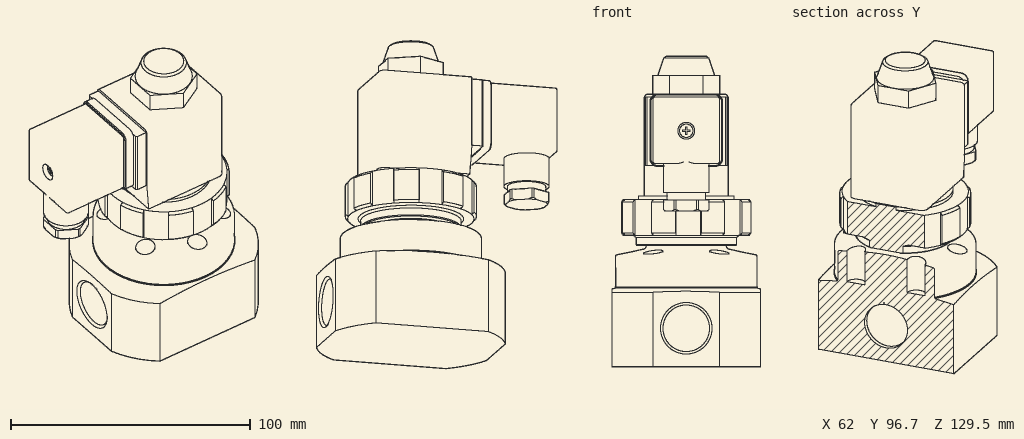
import cadquery as cq
import math


OVERALL_LENGTH = 96.7

BODY_DIAMETER = 79.0
BODY_WIDTH = 62.0
BODY_LENGTH = 74.0
BODY_EDGE_Z = 31.1
BODY_SHOULDER_Z = 32.8
PORT_DIAMETER = 19.4
PORT_MOUTH_DIAMETER = 21.5
PORT_DEPTH = 19.4
PORT_Z = 16.0

CAP_DIAMETER = 59.0
CAP_SEAT_DIAMETER = 59.5
CAP_BOTTOM_Z = 33.3
CAP_EDGE_Z = 46.6
CAP_ROUNDING = 0.8
CAP_CONE_TOP_Z = 49.3
BOLT_HOLE_DIAMETER = 8.0
BOLT_CIRCLE_DIAMETER = 47.7
BOLT_ANGLES = (0, 54.7, 125.3, 180, 234.7, 305.3)

NECK_DIAMETER = 33.5
NECK_FILLET = 1.2
COLLAR_DIAMETER = 42.0
COLLAR_BOTTOM_Z = 50.5
COLLAR_CHAMFER = 0.4
COLLAR_TOP_Z = 53.9
NUT_DIAMETER = 54.8
NUT_GROOVE_DIAMETER = 52.7
NUT_FLARE_DIAMETER = 44.0
NUT_BOTTOM_Z = 54.8
NUT_TOP_Z = 69.8
NUT_CHAMFER = 1.0
NUT_GROOVE_COUNT = 8
NUT_GROOVE_ANGLE = 22.4
NUT_FIRST_GROOVE = -88.0
SPACER_DIAMETER = 40.0

COIL_BOTTOM_Z = 71.2
COIL_TOP_Z = 113.7
COIL_WIDTH = 35.1
COIL_BACK_Y = 18.8
COIL_FRONT_Y = -21.4
COIL_FOOT_Y = -20.5
COIL_TAPER_Z = 83.9
COIL_CORNER_RADIUS = 3.1
COIL_TOP_RADIUS = 1.7

PLATE_WIDTH = 33.9
PLATE_FRONT_Y = -26.4
PLATE_BOTTOM_Z = 83.9
PLATE_TOP_Z = 112.5
PLATE_CHAMFER = 0.5
FLANGE_WIDTH = 30.3
FLANGE_FRONT_Y = -30.7
FLANGE_BOTTOM_Z = 83.5
FLANGE_RADIUS = 3.2
FLANGE_CHAMFER = 0.4
PLUG_WIDTH = 27.7
PLUG_FRONT_Y = BODY_LENGTH / 2 - OVERALL_LENGTH
PLUG_BOTTOM_Z = 84.7
PLUG_TOP_Z = 112.5
PLUG_RADIUS = 1.0

SCREW_Z = 98.4
SCREW_HOLE_DIAMETER = 7.0
SCREW_HOLE_DEPTH = 3.2
SCREW_HEAD_DIAMETER = 5.6
SCREW_HEAD_HEIGHT = 1.8
SCREW_HEAD_ROUNDING = 1.0
CROSS_LENGTH = 3.1
CROSS_WIDTH = 0.6
CROSS_DEPTH = 1.0

GLAND_DIAMETER = 18.9
GLAND_BOTTOM_Z = 72.6
GLAND_NECK_DIAMETER = 16.0
GLAND_NUT_TOP_Z = 69.5
GLAND_NUT_BOTTOM_Z = 64.9
GLAND_NUT_FLATS = 16.8
GLAND_NUT_CHAMFER = 0.6
GLAND_Y = PLUG_FRONT_Y + GLAND_DIAMETER / 2

TOP_NUT_FLATS = 24.2
TOP_NUT_TOP_Z = 121.5
TOP_CONE_BASE_DIAMETER = 23.8
TOP_CONE_END_DIAMETER = 18.9
TOP_CONE_END_Z = 128.7
TOP_FACE_DIAMETER = 16.7
TOP_Z = 129.5


def cylinder(diameter, bottom_z, top_z, y=0.0):
    """Upright cylinder between two heights."""
    base = cq.Workplane("XY", origin=(0, y, bottom_z))
    return base.circle(diameter / 2).extrude(top_z - bottom_z)


def hexagon(across_flats, bottom_z, top_z, y=0.0):
    """Upright hexagonal prism with two corners on the X direction."""
    across_corners = across_flats / math.cos(math.radians(30))
    base = cq.Workplane("XY", origin=(0, y, bottom_z))
    return base.polygon(6, across_corners).extrude(top_z - bottom_z)


def block(width, front_y, back_y, bottom_z, top_z):
    """Box centred on X between two Y places and two heights."""
    size = (width, back_y - front_y, top_z - bottom_z)
    return cq.Workplane("XY", origin=(0, front_y, bottom_z)).box(*size, centered=(True, False, False))


def turned(profile):
    """Solid of revolution about Z from (diameter, height) points, closed along the axis."""
    outline = [(0, profile[0][1])]
    outline += [(diameter / 2, z) for diameter, z in profile]
    outline += [(0, profile[-1][1])]
    return cq.Workplane("XZ").polyline(outline).close().revolve(360, (0, 0, 0), (0, 1, 0))


def make_body():
    """Flatted body with a chamfered blind port in each end."""
    body = turned([
        (BODY_DIAMETER, 0),
        (BODY_DIAMETER, BODY_EDGE_Z),
        (CAP_SEAT_DIAMETER, BODY_SHOULDER_Z),
        (CAP_SEAT_DIAMETER, CAP_BOTTOM_Z),
    ])
    half_length = BODY_LENGTH / 2
    body = body.intersect(block(BODY_WIDTH, -half_length, half_length, 0, CAP_BOTTOM_Z))
    mouth_chamfer = (PORT_MOUTH_DIAMETER - PORT_DIAMETER) / 2
    port_face = cq.Workplane("XZ", origin=(0, -half_length, PORT_Z))
    port = port_face.circle(PORT_DIAMETER / 2).extrude(-PORT_DEPTH)
    mouth = (
        port_face.circle(PORT_MOUTH_DIAMETER / 2)
        .workplane(offset=-mouth_chamfer)
        .circle(PORT_DIAMETER / 2)
        .loft()
    )
    port = port.union(mouth)
    return body.cut(port).cut(port.mirror("XZ"))


def make_cap():
    """Bolted cap with the neck that rises from its cone."""
    cap = turned([
        (CAP_DIAMETER, CAP_BOTTOM_Z),
        (CAP_DIAMETER, CAP_EDGE_Z),
        (NECK_DIAMETER, CAP_CONE_TOP_Z),
        (NECK_DIAMETER, COLLAR_BOTTOM_Z),
    ])
    cap = cap.edges(cq.NearestToPointSelector((0, 0, CAP_EDGE_Z))).fillet(CAP_ROUNDING)
    cap = cap.edges(cq.NearestToPointSelector((0, 0, CAP_CONE_TOP_Z))).fillet(NECK_FILLET)
    bolt_hole = cylinder(BOLT_HOLE_DIAMETER, CAP_BOTTOM_Z, CAP_CONE_TOP_Z)
    bolt_hole = bolt_hole.translate((BOLT_CIRCLE_DIAMETER / 2, 0, 0))
    for angle in BOLT_ANGLES:
        cap = cap.cut(bolt_hole.rotate((0, 0, 0), (0, 0, 1), angle))
    return cap


def make_ribbed_nut():
    nut = turned([
        (COLLAR_DIAMETER - 2 * COLLAR_CHAMFER, COLLAR_BOTTOM_Z),
        (COLLAR_DIAMETER, COLLAR_BOTTOM_Z + COLLAR_CHAMFER),
        (COLLAR_DIAMETER, COLLAR_TOP_Z),
        (NUT_FLARE_DIAMETER, NUT_BOTTOM_Z),
        (NUT_DIAMETER - 2 * NUT_CHAMFER, NUT_BOTTOM_Z),
        (NUT_DIAMETER, NUT_BOTTOM_Z + NUT_CHAMFER),
        (NUT_DIAMETER, NUT_TOP_Z - NUT_CHAMFER),
        (NUT_DIAMETER - 2 * NUT_CHAMFER, NUT_TOP_Z),
        (SPACER_DIAMETER, NUT_TOP_Z),
        (SPACER_DIAMETER, COIL_BOTTOM_Z),
    ])
    half_angle = math.radians(NUT_GROOVE_ANGLE / 2)
    wedge_x = NUT_DIAMETER
    wedge_y = wedge_x * math.tan(half_angle)
    wedge = (
        cq.Workplane("XY", origin=(0, 0, NUT_BOTTOM_Z))
        .polyline([(0, 0), (wedge_x, -wedge_y), (wedge_x, wedge_y)])
        .close()
        .extrude(NUT_TOP_Z - NUT_BOTTOM_Z)
    )
    groove = wedge.cut(cylinder(NUT_GROOVE_DIAMETER, NUT_BOTTOM_Z, NUT_TOP_Z))
    for index in range(NUT_GROOVE_COUNT):
        angle = NUT_FIRST_GROOVE + index * 360 / NUT_GROOVE_COUNT
        nut = nut.cut(groove.rotate((0, 0, 0), (0, 0, 1), angle))
    return nut


def make_coil():
    side = [
        (COIL_BACK_Y, COIL_BOTTOM_Z),
        (COIL_BACK_Y, COIL_TOP_Z),
        (COIL_FRONT_Y, COIL_TOP_Z),
        (COIL_FRONT_Y, COIL_TAPER_Z),
        (COIL_FOOT_Y, COIL_BOTTOM_Z),
    ]
    coil = cq.Workplane("YZ").polyline(side).close().extrude(COIL_WIDTH / 2, both=True)
    coil = coil.edges("|Z and >Y").fillet(COIL_CORNER_RADIUS)
    return coil.faces(">Z").edges("not <Y").fillet(COIL_TOP_RADIUS)


def make_plug_screw_recess():
    """Recess around the screw head, with the domed cross-slotted head left standing in it."""
    floor_y = PLUG_FRONT_Y + SCREW_HOLE_DEPTH
    floor = cq.Workplane("XZ", origin=(0, floor_y, SCREW_Z))
    recess = floor.circle(SCREW_HOLE_DIAMETER / 2).extrude(SCREW_HOLE_DEPTH)
    head = floor.circle(SCREW_HEAD_DIAMETER / 2).extrude(SCREW_HEAD_HEIGHT)
    head = head.faces("<Y").edges().fillet(SCREW_HEAD_ROUNDING)
    slot_floor = cq.Workplane("XZ", origin=(0, floor_y - SCREW_HEAD_HEIGHT + CROSS_DEPTH, SCREW_Z))
    for size in ((CROSS_LENGTH, CROSS_WIDTH), (CROSS_WIDTH, CROSS_LENGTH)):
        head = head.cut(slot_floor.rect(*size).extrude(CROSS_DEPTH))
    return recess.cut(head)


def make_connector():
    plate = block(PLATE_WIDTH, PLATE_FRONT_Y, COIL_FRONT_Y, PLATE_BOTTOM_Z, PLATE_TOP_Z)
    plate = plate.faces("<Y").edges("|Z").chamfer(PLATE_CHAMFER)
    flange = block(FLANGE_WIDTH, FLANGE_FRONT_Y, PLATE_FRONT_Y, FLANGE_BOTTOM_Z, COIL_TOP_Z)
    flange = flange.edges("|Y").fillet(FLANGE_RADIUS)
    flange = flange.faces("<Y").edges().chamfer(FLANGE_CHAMFER)
    plug = block(PLUG_WIDTH, PLUG_FRONT_Y, FLANGE_FRONT_Y, PLUG_BOTTOM_Z, PLUG_TOP_Z)
    plug = plug.edges("|Y or <Y").fillet(PLUG_RADIUS)

    gland_top_z = PLUG_BOTTOM_Z + PLUG_RADIUS
    gland = cylinder(GLAND_DIAMETER, GLAND_BOTTOM_Z, gland_top_z, GLAND_Y)
    gland = gland.union(cylinder(GLAND_NECK_DIAMETER, GLAND_NUT_TOP_Z, GLAND_BOTTOM_Z, GLAND_Y))
    gland_nut = cylinder(GLAND_DIAMETER, GLAND_NUT_BOTTOM_Z, GLAND_NUT_TOP_Z, GLAND_Y)
    gland_nut = gland_nut.faces("<Z").edges().chamfer(GLAND_NUT_CHAMFER)
    gland_nut = gland_nut.intersect(hexagon(GLAND_NUT_FLATS, GLAND_NUT_BOTTOM_Z, GLAND_NUT_TOP_Z, GLAND_Y))

    connector = plate.union(flange).union(plug).union(gland).union(gland_nut)
    return connector.cut(make_plug_screw_recess())


def make_top_nut():
    cone = turned([
        (TOP_CONE_BASE_DIAMETER, TOP_NUT_TOP_Z),
        (TOP_CONE_END_DIAMETER, TOP_CONE_END_Z),
        (TOP_FACE_DIAMETER, TOP_Z),
    ])
    return hexagon(TOP_NUT_FLATS, COIL_TOP_Z, TOP_NUT_TOP_Z).union(cone)


result = make_body()
for piece in (make_cap(), make_ribbed_nut(), make_coil(), make_connector(), make_top_nut()):
    result = result.union(piece)